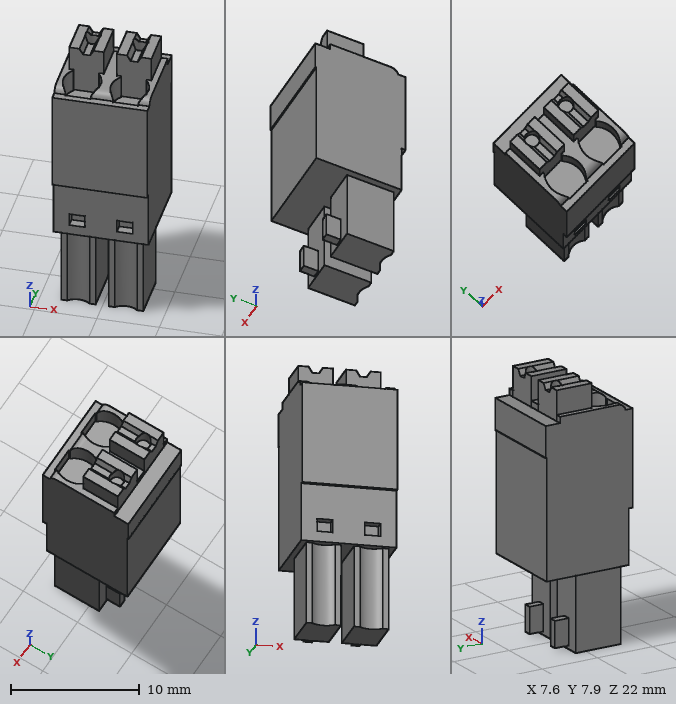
import cadquery as cq
import math


POLE_COUNT = 2
PITCH = 3.8
POLE_WIDTH = 2.77
POLE_CENTRES = [(i - (POLE_COUNT - 1) / 2) * PITCH for i in range(POLE_COUNT)]

HOUSING_WIDTH = POLE_COUNT * PITCH
HOUSING_DEPTH = 7.9
HOUSING_BOTTOM = 6.6
LEDGE_HEIGHT = 19.45
CROWN_HEIGHT = 19.98
FRONT_STEP = 0.35
FRONT_STEP_HEIGHT = 11.26
BACK_STEP = 0.09
BACK_STEP_HEIGHT = 16.79
CROWN_RADIUS = 0.73
CROWN_ARC_CENTRE_Y = 1.35

BUTTON_FRONT = 3.4
BUTTON_BACK = 6.6
BUTTON_TOP = 22.0
NOTCH_TOP_WIDTH = 1.15
NOTCH_FLOOR_WIDTH = 0.55
NOTCH_DEPTH = 0.48
TOOL_HOLE_DIAMETER = 1.2
TOOL_HOLE_Y = 5.59
TOOL_HOLE_DEPTH = 1.32

ENTRY_FLOOR = 18.08
ENTRY_FRONT = 0.55
ENTRY_BULGE_WIDTH = 3.0
ENTRY_ARC_LENGTH = 2.6
ENTRY_SLOT_WIDTH = 2.02

WINDOW_WIDTH = 1.25
WINDOW_BOTTOM = 7.44
WINDOW_TOP = 8.47
WINDOW_DEPTH = 0.75

LEG_FRONT = 0.77
LEG_BACK = 4.86
GROOVE_WIDTH = 1.8
GROOVE_DEPTH = 0.35
TAB_WIDTH = 0.65
TAB_BACK = 6.12
TAB_BOTTOM = 0.3
TAB_TOP = 2.57


def block(centre_x, width, y_range, z_range):
    """Box centred on centre_x that fills the given Y and Z ranges."""
    depth = y_range[1] - y_range[0]
    height = z_range[1] - z_range[0]
    box = cq.Workplane("XY").box(width, depth, height, centered=(True, False, False))
    return box.translate((centre_x, y_range[0], z_range[0]))


def housing_shell():
    """Stepped side profile with a rounded crown edge, extruded across the width."""
    arc_drop = CROWN_HEIGHT - LEDGE_HEIGHT
    arc_centre_z = CROWN_HEIGHT - CROWN_RADIUS
    arc_end_y = CROWN_ARC_CENTRE_Y - math.sqrt(CROWN_RADIUS**2 - (CROWN_RADIUS - arc_drop) ** 2)
    half_angle = math.acos((CROWN_RADIUS - arc_drop) / CROWN_RADIUS) / 2
    arc_middle = (
        CROWN_ARC_CENTRE_Y - CROWN_RADIUS * math.sin(half_angle),
        arc_centre_z + CROWN_RADIUS * math.cos(half_angle),
    )
    return (
        cq.Workplane("YZ")
        .moveTo(FRONT_STEP, HOUSING_BOTTOM)
        .lineTo(FRONT_STEP, FRONT_STEP_HEIGHT)
        .lineTo(0, FRONT_STEP_HEIGHT)
        .lineTo(0, LEDGE_HEIGHT)
        .lineTo(arc_end_y, LEDGE_HEIGHT)
        .threePointArc(arc_middle, (CROWN_ARC_CENTRE_Y, CROWN_HEIGHT))
        .lineTo(BUTTON_BACK, CROWN_HEIGHT)
        .lineTo(BUTTON_BACK, LEDGE_HEIGHT)
        .lineTo(HOUSING_DEPTH, LEDGE_HEIGHT)
        .lineTo(HOUSING_DEPTH, BACK_STEP_HEIGHT)
        .lineTo(HOUSING_DEPTH - BACK_STEP, BACK_STEP_HEIGHT)
        .lineTo(HOUSING_DEPTH - BACK_STEP, HOUSING_BOTTOM)
        .close()
        .extrude(HOUSING_WIDTH / 2, both=True)
    )


def button_blank(centre_x):
    """Plain button block, which is also the shape of its pocket in the housing."""
    return block(centre_x, POLE_WIDTH, (BUTTON_FRONT, BUTTON_BACK), (ENTRY_FLOOR, BUTTON_TOP))


def wire_entry(centre_x):
    """Straight slot with sides bulging outwards in arcs, open towards the button."""
    half_slot = ENTRY_SLOT_WIDTH / 2
    half_bulge = ENTRY_BULGE_WIDTH / 2
    half_arc = ENTRY_ARC_LENGTH / 2
    half_length = (BUTTON_FRONT - ENTRY_FRONT) / 2
    centre_y = (BUTTON_FRONT + ENTRY_FRONT) / 2
    return (
        cq.Workplane("XY", origin=(centre_x, centre_y, ENTRY_FLOOR))
        .moveTo(-half_slot, -half_length)
        .lineTo(half_slot, -half_length)
        .lineTo(half_slot, -half_arc)
        .threePointArc((half_bulge, 0), (half_slot, half_arc))
        .lineTo(half_slot, half_length)
        .lineTo(-half_slot, half_length)
        .lineTo(-half_slot, half_arc)
        .threePointArc((-half_bulge, 0), (-half_slot, -half_arc))
        .close()
        .extrude(CROWN_HEIGHT - ENTRY_FLOOR)
    )


def inspection_window(centre_x):
    y_range = (FRONT_STEP, FRONT_STEP + WINDOW_DEPTH)
    return block(centre_x, WINDOW_WIDTH, y_range, (WINDOW_BOTTOM, WINDOW_TOP))


def plug_leg(centre_x):
    """Leg below the housing with a shallow round groove and a latch tab."""
    leg = block(centre_x, POLE_WIDTH, (LEG_FRONT, LEG_BACK), (0, HOUSING_BOTTOM))
    groove = (
        cq.Workplane("XY")
        .moveTo(centre_x - GROOVE_WIDTH / 2, LEG_FRONT)
        .threePointArc(
            (centre_x, LEG_FRONT + GROOVE_DEPTH),
            (centre_x + GROOVE_WIDTH / 2, LEG_FRONT),
        )
        .close()
        .extrude(HOUSING_BOTTOM)
    )
    tab = block(centre_x, TAB_WIDTH, (LEG_BACK, TAB_BACK), (TAB_BOTTOM, TAB_TOP))
    return leg.cut(groove).union(tab)


def make_housing():
    housing = housing_shell()
    for centre_x in POLE_CENTRES:
        housing = housing.union(plug_leg(centre_x))
        housing = housing.cut(button_blank(centre_x))
        housing = housing.cut(wire_entry(centre_x))
        housing = housing.cut(inspection_window(centre_x))
    return housing


def make_button(centre_x):
    """Push button with a tapered, flat-floored notch and a round tool hole in its top."""
    notch_floor = BUTTON_TOP - NOTCH_DEPTH
    notch = (
        cq.Workplane("XZ", origin=(centre_x, BUTTON_BACK, 0))
        .moveTo(-NOTCH_TOP_WIDTH / 2, BUTTON_TOP)
        .lineTo(-NOTCH_FLOOR_WIDTH / 2, notch_floor)
        .lineTo(NOTCH_FLOOR_WIDTH / 2, notch_floor)
        .lineTo(NOTCH_TOP_WIDTH / 2, BUTTON_TOP)
        .close()
        .extrude(BUTTON_BACK - BUTTON_FRONT)
    )
    tool_hole = (
        cq.Workplane("XY", origin=(centre_x, TOOL_HOLE_Y, BUTTON_TOP - TOOL_HOLE_DEPTH))
        .circle(TOOL_HOLE_DIAMETER / 2)
        .extrude(TOOL_HOLE_DEPTH)
    )
    return button_blank(centre_x).cut(notch).cut(tool_hole)


housing = make_housing()
buttons = [make_button(centre_x) for centre_x in POLE_CENTRES]

result = cq.Compound.makeCompound([housing.val(), *[button.val() for button in buttons]])